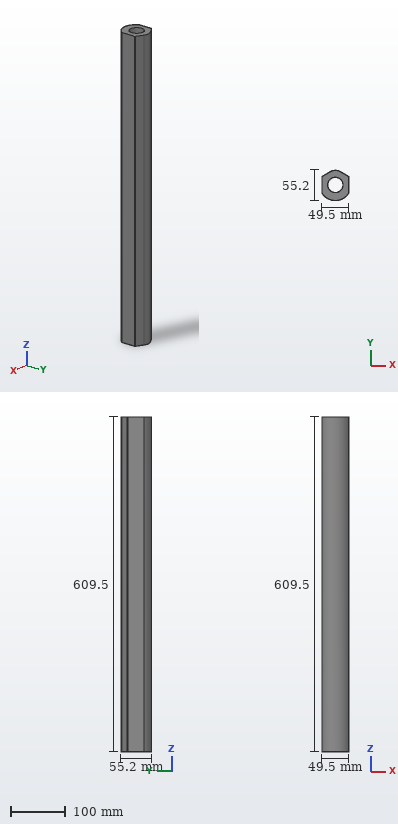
import cadquery as cq
import math

length = 609.5
outer_radius = 28.5
side_width = 49.5
bore_diameter = 27.5
slant_distance = 25.5
slant_angle = 30.0
ridge_radius = 17.5

half_width = side_width / 2
slant = math.radians(slant_angle)
ridge_y = slant_distance / math.cos(slant)
shoulder_y = ridge_y - half_width * math.tan(slant)

flats_prism = (
    cq.Workplane("XY")
    .moveTo(-half_width, -outer_radius)
    .lineTo(half_width, -outer_radius)
    .lineTo(half_width, shoulder_y)
    .lineTo(0, ridge_y)
    .lineTo(-half_width, shoulder_y)
    .close()
    .extrude(length)
    .edges("|Z and >Y")
    .fillet(ridge_radius)
)

tube = cq.Workplane("XY").circle(outer_radius).circle(bore_diameter / 2).extrude(length)

result = tube.intersect(flats_prism)